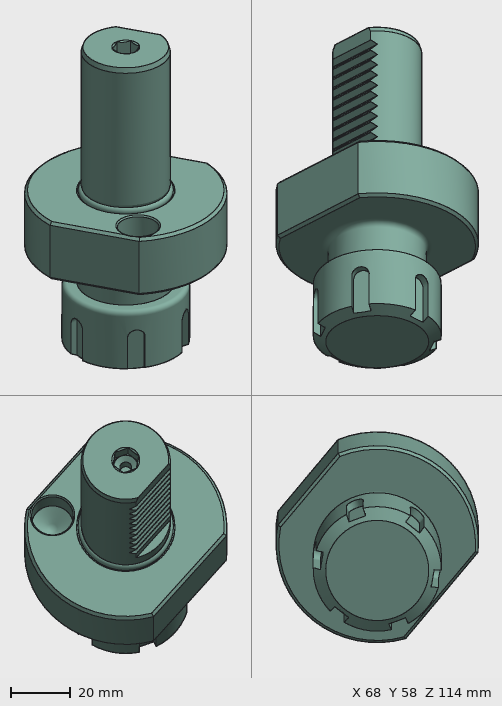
import cadquery as cq
import math


shank_radius = 15.0
shank_length = 55.0
shank_chamfer_radial = 0.6
shank_chamfer_height = 1.8
foot_radius = 14.75
foot_taper_top_z = 2.3

flat_y = 12.0
flat_end_z = 7.0
tooth_pitch = 4.0
tooth_count = 10
tooth_depth = 1.5
tooth_half_width = 1.75
lowest_tooth_z = 12.0

ring_outer_radius = 16.0
ring_section_radius = 1.5
ring_center_z = 0.0
recess_radius = 16.5

flange_radius = 34.0
flange_thickness = 22.0
flange_back_y = 28.0
flange_front_y = -30.0
flange_chamfer = 1.0

neck_radius = 16.5
neck_length = 13.0
neck_fillet = 2.0

nut_radius = 21.5
nut_height = 24.0
nut_fillet = 1.75
nut_chamfer_radial = 4.2
nut_chamfer_height = 2.25
slot_count = 6
slot_width = 6.0
slot_height = 17.0
slot_floor_distance = 18.85
slot_cutter_margin = 1.0

drill_point_angle = 118.0

socket_across_flats = 8.0
socket_corner_angle = 30.0
socket_depth = 5.0
socket_rim_radius = 4.7
socket_rim_depth = 0.4
socket_bore_radius = 2.0
socket_bore_depth = 10.0

hole_x = 12.5
hole_y = -21.6
hole_radius = 7.0
hole_depth = 8.0
hole_chamfer = 0.5

ring_center_radius = ring_outer_radius - ring_section_radius
ring_top_z = ring_center_z + ring_section_radius
ring_bottom_z = ring_center_z - ring_section_radius
neck_top_z = -flange_thickness
nut_top_z = neck_top_z - neck_length
nut_bottom_z = nut_top_z - nut_height


def make_shank():
    tip_radius = shank_radius - shank_chamfer_radial
    shoulder_z = shank_length - shank_chamfer_height
    profile = [
        (0, ring_bottom_z),
        (foot_radius, ring_bottom_z),
        (foot_radius, ring_top_z),
        (shank_radius, foot_taper_top_z),
        (shank_radius, shoulder_z),
        (tip_radius, shank_length),
        (0, shank_length),
    ]
    shank = cq.Workplane("XZ").polyline(profile).close().revolve(360, (0, 0), (0, 1))
    return shank.cut(make_flat_cutter()).cut(make_serration_cutter())


def make_flat_cutter():
    return cq.Workplane("XY").box(
        2 * shank_radius, shank_radius, shank_length, centered=(True, False, False)
    ).translate((0, flat_y, flat_end_z))


def make_serration_cutter():
    cutter = cq.Workplane("YZ")
    for index in range(tooth_count):
        z = lowest_tooth_z + index * tooth_pitch
        notch = [
            (flat_y, z - tooth_half_width),
            (flat_y - tooth_depth, z),
            (flat_y, z + tooth_half_width),
        ]
        cutter = cutter.polyline(notch).close()
    return cutter.extrude(shank_radius, both=True)


def make_sealing_ring():
    return (
        cq.Workplane("XZ")
        .moveTo(0, ring_bottom_z)
        .lineTo(ring_center_radius, ring_bottom_z)
        .threePointArc((ring_outer_radius, ring_center_z), (ring_center_radius, ring_top_z))
        .lineTo(0, ring_top_z)
        .close()
        .revolve(360, (0, 0), (0, 1))
    )


def make_recess_cutter():
    return cq.Workplane("XY").circle(recess_radius).extrude(ring_bottom_z)


def make_flange():
    disc = cq.Workplane("XY").circle(flange_radius).extrude(-flange_thickness)
    width_y = flange_back_y - flange_front_y
    slab = cq.Workplane("XY").box(
        2 * flange_radius, width_y, flange_thickness, centered=(True, False, False)
    ).translate((0, flange_front_y, -flange_thickness))
    return disc.intersect(slab).faces("|Z").chamfer(flange_chamfer)


def make_neck():
    overlap_z = neck_top_z + flange_chamfer
    return (
        cq.Workplane("XZ")
        .moveTo(0, overlap_z)
        .lineTo(neck_radius + neck_fillet, overlap_z)
        .lineTo(neck_radius + neck_fillet, neck_top_z)
        .radiusArc((neck_radius, neck_top_z - neck_fillet), -neck_fillet)
        .lineTo(neck_radius, nut_top_z)
        .lineTo(0, nut_top_z)
        .close()
        .revolve(360, (0, 0), (0, 1))
    )


def make_nut():
    body = (
        cq.Workplane("XZ")
        .moveTo(0, nut_top_z)
        .lineTo(nut_radius - nut_fillet, nut_top_z)
        .radiusArc((nut_radius, nut_top_z - nut_fillet), nut_fillet)
        .lineTo(nut_radius, nut_bottom_z + nut_chamfer_height)
        .lineTo(nut_radius - nut_chamfer_radial, nut_bottom_z)
        .lineTo(0, nut_bottom_z)
        .close()
        .revolve(360, (0, 0), (0, 1))
    )
    slot = make_slot_cutter()
    for index in range(slot_count):
        angle = index * 360 / slot_count
        body = body.cut(slot.rotate((0, 0, 0), (0, 0, 1), angle))
    return body


def make_slot_cutter():
    half_width = slot_width / 2
    arch_z = nut_bottom_z + slot_height - half_width
    return (
        cq.Workplane("YZ", origin=(slot_floor_distance, 0, 0))
        .moveTo(-half_width, nut_bottom_z)
        .lineTo(half_width, nut_bottom_z)
        .lineTo(half_width, arch_z)
        .threePointArc((0, arch_z + half_width), (-half_width, arch_z))
        .close()
        .extrude(nut_radius - slot_floor_distance + slot_cutter_margin)
    )


def cone_height(large_radius, small_radius=0):
    return (large_radius - small_radius) / math.tan(math.radians(drill_point_angle / 2))


def make_socket_cutter():
    corner_radius = socket_across_flats / math.sqrt(3)
    hexagon = (
        cq.Workplane("XY", origin=(0, 0, shank_length))
        .transformed(rotate=(0, 0, socket_corner_angle))
        .polygon(6, 2 * corner_radius)
        .extrude(-socket_depth)
    )
    floor_radius = socket_across_flats / 2
    rim_z = shank_length - socket_rim_depth
    floor_z = shank_length - socket_depth
    bore_top_z = floor_z - cone_height(floor_radius, socket_bore_radius)
    bore_bottom_z = shank_length - socket_bore_depth
    profile = [
        (0, shank_length),
        (socket_rim_radius, shank_length),
        (floor_radius, rim_z),
        (floor_radius, floor_z),
        (socket_bore_radius, bore_top_z),
        (socket_bore_radius, bore_bottom_z),
        (0, bore_bottom_z),
    ]
    core = cq.Workplane("XZ").polyline(profile).close().revolve(360, (0, 0), (0, 1))
    return hexagon.union(core)


def make_hole_cutter():
    profile = [
        (0, 0),
        (hole_radius + hole_chamfer, 0),
        (hole_radius, -hole_chamfer),
        (hole_radius, -hole_depth),
        (0, -hole_depth - cone_height(hole_radius)),
    ]
    cutter = cq.Workplane("XZ").polyline(profile).close().revolve(360, (0, 0), (0, 1))
    return cutter.translate((hole_x, hole_y, 0))


result = make_flange().cut(make_hole_cutter()).cut(make_recess_cutter())
for section in (make_shank(), make_sealing_ring(), make_neck(), make_nut()):
    result = result.union(section)
result = result.cut(make_socket_cutter())